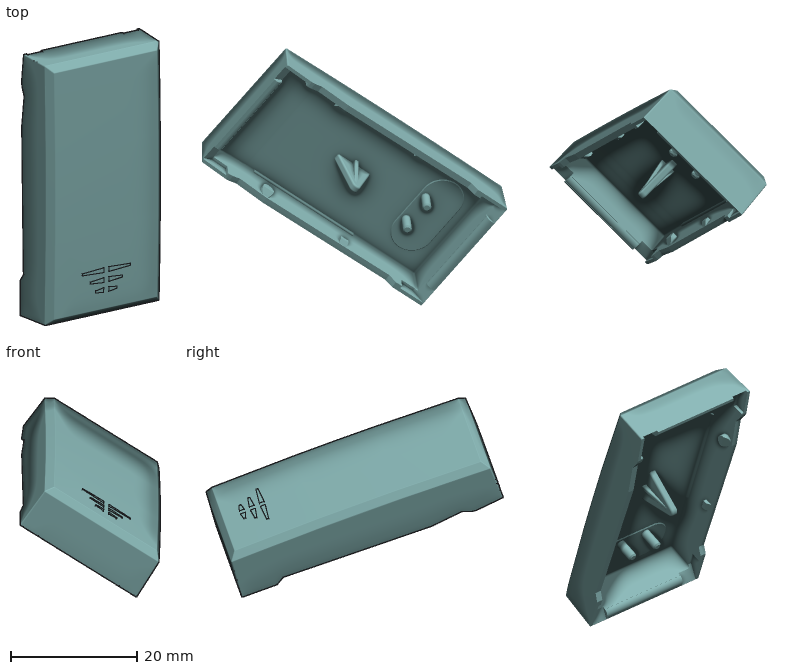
import cadquery as cq
import math


ROLL = 33.35
PITCH = 19.87

HALF_LENGTH = 22.25
HALF_WIDTH = 11.1
FOOT_Z = -3.3
CROWN_Z = 5.0
CROWN_RISE = 0.4
END_DRAFT = 2.9
SIDE_DRAFT = 1.8
TOP_CHAMFER = 1.1
EDGE_FILLET = 0.2

FRONT_FOOT_Y = -16.3
BACK_END_RIM_Z = -2.35
RIM_STEPS = [
    (FRONT_FOOT_Y, FOOT_Z),
    (-15.0, -2.4),
    (9.9, -2.85),
    (15.2, -2.2),
    (16.7, -2.8),
    (17.4, -2.9),
]

CEILING_Z = 2.9
CAVITY_HALF_WIDTH = 9.8
CAVITY_HALF_LENGTH = 20.3
CAVITY_SIDE_DRAFT = 2.2
CAVITY_END_DRAFT = 4.5
CEILING_BEND_Y = 13.8
CEILING_DROP = 0.5
CAVITY_FILLET = 0.3
STRIP_START_Y = -7.8
STRIP_END_Y = 12.3
STRIP_WIDTH = 0.3
STRIP_DEPTH = 0.55
STRIP_FILLET = 0.25

CORNER_INNER_X = 7.7
CORNER_OUTER_X = 10.5
END_RIM_FILLET = 0.9
END_RIM_FLAT = 0.6
EXIT_MARGIN = 0.05
FRONT_RELIEF = dict(start_y=17.5, shoulder_z=-1.45, slope_y=20.2, slope_z=-1.45, exit_z=-3.4)
BACK_RELIEF = dict(start_y=17.7, shoulder_z=-0.95, slope_y=20.5, slope_z=-0.75, exit_z=-2.05)

FIN_THICKNESS = 1.2
FIN_BASE_WIDTH = 6.6
FIN_TIP_Z = -4.1
FIN_TIP_RADIUS = 0.8
FIN_EDGE_FILLET = 0.3
GUSSET_THICKNESS = 0.7
GUSSET_REACH = 0.8
GUSSET_END_Z = -2.7
GUSSET_EDGE_FILLET = 0.2

BOSS_Y = 10.1
BOSS_Z = -1.5
BOSS_RADIUS = 1.05
BOSS_HEIGHT = 0.9
BOSS_RIDGE_FILLET = 0.3
NUB_Y = -5.55
NUB_LENGTH = 1.5
NUB_HEIGHT = 0.6
NUB_TOP_Z = -1.1
NUB_RIDGE_Z = -1.75
NUB_FOOT_Z = -2.5

PLATE_Y = -15.25
PLATE_WIDTH = 7.1
PLATE_LENGTH = 14.6
PLATE_THICKNESS = 1.0
PLATE_PROUD = 0.15
PLATE_CHAMFER = 0.14
PIN_Y = -12.9
PIN_X = 2.5
PIN_RADIUS = 0.72
PIN_END_Z = -0.6
PIN_CHAMFER = 0.25
WEDGE_FIRST_Y = -14.15
WEDGE_PITCH = 1.7
WEDGE_INNER_X = 0.48
WEDGE_OUTER_X = [4.55, 3.05, 2.0]
WEDGE_BASE = 0.82
WEDGE_TIP = 0.34

BOND = 0.1
FAR = 12.0


def slope(angle):
    return math.tan(math.radians(angle))


END_HALF_LENGTH = HALF_LENGTH - (CROWN_Z - CROWN_RISE - FOOT_Z) * slope(END_DRAFT)
CROWN_RADIUS = (END_HALF_LENGTH**2 + CROWN_RISE**2) / (2 * CROWN_RISE)
CROWN_AXIS_Z = CROWN_Z - CROWN_RADIUS
CROWN_SWEEP = 6.0


def length_profile(start_x=0.0):
    """Workplane in Y and Z whose extrusion runs along +X from start_x."""
    return cq.Workplane("YZ", origin=(start_x, 0, 0))


def on_both_sides(body):
    """The body together with its mirror image across the middle of the width."""
    return body.union(body.mirror("YZ"))


def trapezoid_along_length(foot_half, foot_z, top_half, top_z):
    """Bar along Y with a trapezoid section in X and Z."""
    return (
        cq.Workplane("XZ")
        .polyline([(-foot_half, foot_z), (foot_half, foot_z), (top_half, top_z), (-top_half, top_z)])
        .close()
        .extrude(2 * HALF_LENGTH, both=True)
    )


def crown_level(radius, y):
    """Height of an arc about the crown axis at a given place along the length."""
    return CROWN_AXIS_Z + math.sqrt(radius**2 - y**2)


def width_envelope():
    """Drafted side walls with chamfered top edges, all following the arch of the key face."""
    below = FOOT_Z - 1
    chamfer_z = CROWN_Z - TOP_CHAMFER
    foot_x = HALF_WIDTH + slope(SIDE_DRAFT)
    chamfer_x = HALF_WIDTH - (chamfer_z - FOOT_Z) * slope(SIDE_DRAFT)
    crown_x = chamfer_x - TOP_CHAMFER
    section = [
        (-foot_x, below),
        (foot_x, below),
        (chamfer_x, chamfer_z),
        (crown_x, CROWN_Z),
        (-crown_x, CROWN_Z),
        (-chamfer_x, chamfer_z),
    ]
    return (
        cq.Workplane("XZ")
        .polyline(section)
        .close()
        .revolve(CROWN_SWEEP, (0, CROWN_AXIS_Z), (1, CROWN_AXIS_Z))
        .rotate((0, 0, CROWN_AXIS_Z), (1, 0, CROWN_AXIS_Z), -CROWN_SWEEP / 2)
    )


def length_envelope():
    """Side view of the cap: stepped rim, drafted ends, end chamfers and arched key face."""
    back_y = HALF_LENGTH - (BACK_END_RIM_Z - FOOT_Z) * slope(END_DRAFT)
    chamfer_y = END_HALF_LENGTH + TOP_CHAMFER * slope(END_DRAFT)
    chamfer_z = crown_level(CROWN_RADIUS - TOP_CHAMFER, chamfer_y)
    crown_y = chamfer_y - TOP_CHAMFER
    crown_z = crown_level(CROWN_RADIUS, crown_y)
    return (
        length_profile()
        .moveTo(-HALF_LENGTH, FOOT_Z)
        .polyline(RIM_STEPS, includeCurrent=True)
        .lineTo(back_y, BACK_END_RIM_Z)
        .lineTo(chamfer_y, chamfer_z)
        .lineTo(crown_y, crown_z)
        .threePointArc((0, CROWN_Z), (-crown_y, crown_z))
        .lineTo(-chamfer_y, chamfer_z)
        .close()
        .extrude(FAR, both=True)
    )


def outer_block():
    block = width_envelope().intersect(length_envelope())
    all_but_rim = cq.selectors.BoxSelector((-FAR, -2 * FAR, -1), (FAR, 2 * FAR, FAR))
    return block.edges(all_but_rim).fillet(EDGE_FILLET)


def cavity():
    below = FOOT_Z - 1
    depth = CEILING_Z - below
    foot_half_length = CAVITY_HALF_LENGTH + depth * slope(CAVITY_END_DRAFT)
    foot_half_width = CAVITY_HALF_WIDTH + depth * slope(CAVITY_SIDE_DRAFT)
    hollow = (
        length_profile()
        .moveTo(-foot_half_length, below)
        .lineTo(-CAVITY_HALF_LENGTH, CEILING_Z)
        .lineTo(CEILING_BEND_Y, CEILING_Z)
        .tangentArcPoint((CAVITY_HALF_LENGTH, CEILING_Z - CEILING_DROP), relative=False)
        .lineTo(foot_half_length, below)
        .close()
        .extrude(2 * HALF_WIDTH, both=True)
    )
    hollow = hollow.intersect(
        trapezoid_along_length(foot_half_width, below, CAVITY_HALF_WIDTH, CEILING_Z)
    )
    all_but_foot = cq.selectors.BoxSelector((-FAR, -2 * FAR, FOOT_Z), (FAR, 2 * FAR, FAR))
    bend_line = cq.selectors.NearestToPointSelector((0, CEILING_BEND_Y, CEILING_Z))
    return hollow.edges(all_but_foot - bend_line).fillet(CAVITY_FILLET)


def corner_reliefs(sign, start_y, shoulder_z, slope_y, slope_z, exit_z):
    """Thinned side walls and sloping end wall at both corners of one end (sign of Y)."""
    end_y = HALF_LENGTH + EXIT_MARGIN
    relief = (
        length_profile(CORNER_INNER_X)
        .polyline([
            (sign * start_y, -FAR),
            (sign * start_y, shoulder_z),
            (sign * slope_y, slope_z),
            (sign * end_y, exit_z),
            (sign * end_y, -FAR),
        ])
        .close()
        .extrude(CORNER_OUTER_X - CORNER_INNER_X)
    )
    return on_both_sides(relief)


def end_rim_round(sign, rim_z):
    """Cutter that rounds the inner edge of one end wall between its corners."""
    outer_y = sign * (HALF_LENGTH - END_RIM_FLAT)
    inner_y = outer_y - sign * END_RIM_FILLET
    top_z = rim_z + END_RIM_FILLET
    middle = END_RIM_FILLET * (1 - math.sqrt(0.5))
    return (
        length_profile()
        .moveTo(inner_y, top_z)
        .threePointArc((inner_y + sign * middle, rim_z + middle), (outer_y, rim_z))
        .lineTo(outer_y, -FAR)
        .lineTo(inner_y - sign, -FAR)
        .lineTo(inner_y - sign, top_z)
        .close()
        .extrude(CORNER_INNER_X, both=True)
    )


def ceiling_strips():
    """Narrow ledges along the two edges between the ceiling and the side walls."""
    strip = (
        cq.Workplane("XY", origin=(0, 0, CEILING_Z - STRIP_DEPTH))
        .moveTo(CAVITY_HALF_WIDTH - STRIP_WIDTH, STRIP_START_Y)
        .lineTo(CORNER_OUTER_X, STRIP_START_Y)
        .lineTo(CORNER_OUTER_X, STRIP_END_Y)
        .lineTo(CAVITY_HALF_WIDTH - STRIP_WIDTH, STRIP_END_Y)
        .close()
        .extrude(STRIP_DEPTH + BOND)
        .edges("|Y and <X and <Z")
        .fillet(STRIP_FILLET)
    )
    return on_both_sides(strip)


def pivot_fin():
    """Tapered tongue across the cavity, braced by a thin triangular gusset on each face."""
    root_z = CEILING_Z + BOND
    tip_centre_z = FIN_TIP_Z + FIN_TIP_RADIUS
    half_base = FIN_BASE_WIDTH / 2
    reach = math.hypot(half_base, root_z - tip_centre_z)
    tilt = math.atan2(half_base, root_z - tip_centre_z) - math.asin(FIN_TIP_RADIUS / reach)
    touch_y = FIN_TIP_RADIUS * math.cos(tilt)
    touch_z = tip_centre_z - FIN_TIP_RADIUS * math.sin(tilt)
    fin = (
        length_profile()
        .moveTo(-half_base, root_z)
        .lineTo(-touch_y, touch_z)
        .threePointArc((0, FIN_TIP_Z), (touch_y, touch_z))
        .lineTo(half_base, root_z)
        .close()
        .extrude(FIN_THICKNESS / 2, both=True)
        .faces("<X or >X")
        .edges("not >Z")
        .fillet(FIN_EDGE_FILLET)
    )
    face_x = FIN_THICKNESS / 2
    gussets = (
        cq.Workplane("XZ")
        .polyline([
            (-face_x - GUSSET_REACH, root_z),
            (-face_x, GUSSET_END_Z),
            (face_x, GUSSET_END_Z),
            (face_x + GUSSET_REACH, root_z),
        ])
        .close()
        .extrude(GUSSET_THICKNESS / 2, both=True)
        .faces("<X or >X")
        .edges("#Y")
        .fillet(GUSSET_EDGE_FILLET)
    )
    return fin.union(gussets)


def wall_x(z):
    """Half width of the cavity at a given level."""
    return CAVITY_HALF_WIDTH + (CEILING_Z - z) * slope(CAVITY_SIDE_DRAFT)


def sloped_block(centre_y, length, foot_z, ridge_z, top_z, height):
    """Block on the +X side wall that rises from its foot to a ridge and stands level above it."""
    root_x = wall_x(foot_z) + BOND
    tip_x = wall_x(ridge_z) - height
    return (
        cq.Workplane("XZ", origin=(0, centre_y, 0))
        .polyline([(root_x, foot_z), (tip_x, ridge_z), (tip_x, top_z), (root_x, top_z)])
        .close()
        .extrude(length / 2, both=True)
    )


def pivot_bosses():
    """Round bosses on the side walls, with the lower half sloped as a lead-in."""
    foot_z = BOSS_Z - BOSS_RADIUS
    top_z = BOSS_Z + 2 * BOSS_RADIUS
    wedge = sloped_block(BOSS_Y, 4 * BOSS_RADIUS, foot_z, BOSS_Z, top_z, BOSS_HEIGHT)
    wedge = wedge.edges("|Y and <X").edges("<Z").fillet(BOSS_RIDGE_FILLET)
    disc = cq.Workplane("YZ", origin=(0, BOSS_Y, BOSS_Z)).circle(BOSS_RADIUS).extrude(FAR)
    return on_both_sides(wedge.intersect(disc))


def snap_nubs():
    """Short nubs at the rim of the side walls, sloped below their ridge."""
    return on_both_sides(
        sloped_block(NUB_Y, NUB_LENGTH, NUB_FOOT_Z, NUB_RIDGE_Z, NUB_TOP_Z, NUB_HEIGHT)
    )


def guide_plate():
    plate = (
        cq.Workplane("XY", origin=(0, PLATE_Y, CEILING_Z - PLATE_PROUD))
        .slot2D(PLATE_LENGTH, PLATE_WIDTH)
        .extrude(PLATE_PROUD + PLATE_THICKNESS)
    )
    return plate.faces("<Z").edges().chamfer(PLATE_CHAMFER)


def guide_wedges():
    """Tapered bars under the key face: three mirrored pairs, shorter towards the front end."""
    wedges = cq.Workplane("XY", origin=(0, 0, CEILING_Z + PLATE_THICKNESS - BOND))
    for row, outer_x in enumerate(WEDGE_OUTER_X):
        row_y = WEDGE_FIRST_Y - row * WEDGE_PITCH
        for side in (-1, 1):
            wedges = (
                wedges.moveTo(side * WEDGE_INNER_X, row_y - WEDGE_BASE / 2)
                .lineTo(side * WEDGE_INNER_X, row_y + WEDGE_BASE / 2)
                .lineTo(side * outer_x, row_y + WEDGE_TIP / 2)
                .lineTo(side * outer_x, row_y - WEDGE_TIP / 2)
                .close()
            )
    return wedges.extrude(CROWN_Z - CEILING_Z)


def guide_pins():
    root_z = CEILING_Z + BOND
    return (
        cq.Workplane("XY", origin=(0, PIN_Y, PIN_END_Z))
        .pushPoints([(-PIN_X, 0), (PIN_X, 0)])
        .circle(PIN_RADIUS)
        .extrude(root_z - PIN_END_Z)
        .faces("<Z")
        .edges()
        .chamfer(PIN_CHAMFER)
    )


def tilted(body):
    return body.rotate((0, 0, 0), (0, 1, 0), ROLL).rotate((0, 0, 0), (1, 0, 0), PITCH)


block = outer_block()
light_guide = guide_plate().union(guide_wedges()).union(guide_pins()).intersect(block)

cap = block.cut(cavity())
cap = cap.union(ceiling_strips()).union(pivot_bosses()).union(snap_nubs())
cap = cap.cut(corner_reliefs(-1, **FRONT_RELIEF)).cut(corner_reliefs(1, **BACK_RELIEF))
cap = cap.cut(end_rim_round(-1, FOOT_Z)).cut(end_rim_round(1, BACK_END_RIM_Z))
cap = cap.union(pivot_fin())
cap = cap.cut(light_guide)

result = cq.Compound.makeCompound([tilted(cap).val(), tilted(light_guide).val()])